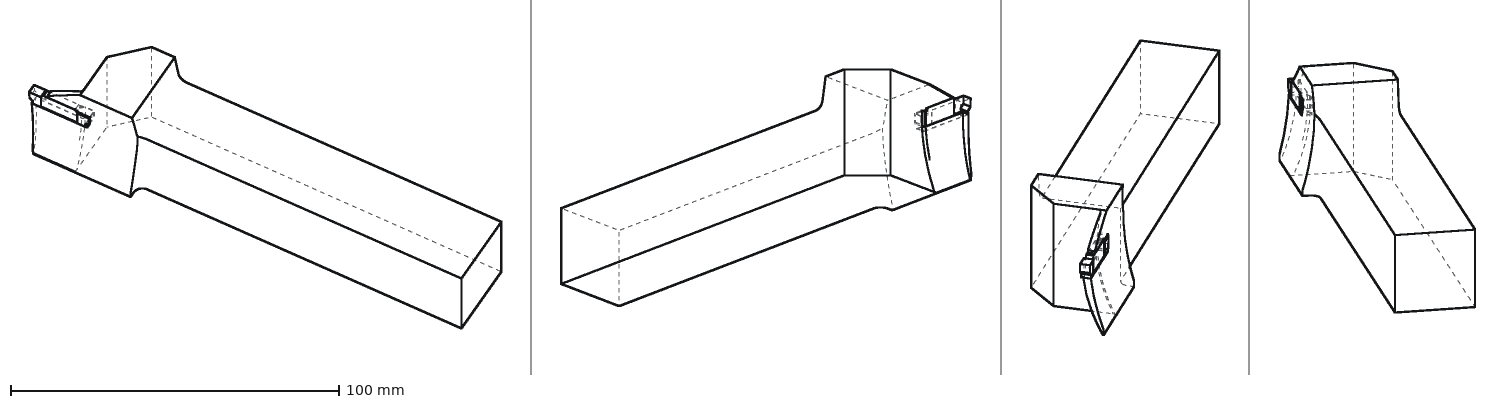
import cadquery as cq
import math

tool_length = 150.0
shank_width = 25.0
shank_height = 25.0
head_height = 35.0
blade_overhang = 5.0
cut_margin = 5.0

head_front_x = 17.9
head_corner_chamfer = 10.0
head_rear_tilt = 10.0
head_rear_x = 37.3
shank_fillet = 3.0
shank_start_x = head_rear_x + shank_fillet

front_radius = 85.0
front_crest_y = -1.35
front_crest_z = 26.5
back_radius = 54.0
back_crest_y = 0.95
back_crest_z = 24.0
root_fillet = 0.8
relief_angle = 7.0
seat_z = 20.0
blade_tip_x = 0.9
blade_foot_x = blade_tip_x + seat_z * math.tan(math.radians(relief_angle))
clamp_tip_x = 6.3
clamp_tip_z = 26.7

insert_length = 20.8
insert_top_z = 25.0
insert_width = 3.15
insert_front_y = -1.6
insert_back_y = insert_front_y + insert_width
end_length = 4.1
end_land_z = 22.3
end_land_x = 0.1
end_notch_x = 1.3
end_notch_z = 21.0
waist_top_z = 25.9
waist_ramp_length = 0.8
waist_front_y = front_crest_y
waist_back_y = back_crest_y
pocket_clearance = 0.35


def box(x_range, y_range, z_range):
    """Axis-aligned block between the given limits."""
    size = [high - low for low, high in (x_range, y_range, z_range)]
    corner = (x_range[0], y_range[0], z_range[0])
    return cq.Workplane("XY").box(*size, centered=False).translate(corner)


def extrude_along_y(profile, y_low, y_high):
    """Extrude a closed XZ profile from y_low to y_high."""
    return profile.extrude(-(y_high - y_low)).translate((0, y_low, 0))


def cylinder_along_x(radius, crest_y, crest_z):
    """Cylinder along X whose +Y crest line lies at crest_y, crest_z."""
    return (
        cq.Workplane("YZ")
        .center(crest_y - radius, crest_z)
        .circle(radius)
        .extrude(tool_length)
    )


def make_head():
    """Block with a cut corner, blended to the shank at its top and front."""
    arc_offset = shank_fillet * (1 - math.sqrt(0.5))
    arc_mid_x = head_rear_x + arc_offset
    plan = (
        cq.Workplane("XY")
        .moveTo(head_front_x, -blade_overhang)
        .lineTo(head_rear_x, -blade_overhang)
        .lineTo(head_rear_x, -shank_fillet)
        .threePointArc((arc_mid_x, -arc_offset), (shank_start_x, 0))
        .lineTo(shank_start_x, shank_width)
        .lineTo(head_front_x + head_corner_chamfer, shank_width)
        .lineTo(head_front_x, shank_width - head_corner_chamfer)
        .close()
        .extrude(head_height)
    )
    tilt = math.radians(head_rear_tilt)
    tangent_x = shank_start_x - shank_fillet * math.cos(tilt)
    tangent_z = shank_height + shank_fillet * (1 - math.sin(tilt))
    top_rear_x = tangent_x - (head_height - tangent_z) * math.tan(tilt)
    side = (
        cq.Workplane("XZ")
        .moveTo(head_front_x, 0)
        .lineTo(shank_start_x, 0)
        .lineTo(shank_start_x, shank_height)
        .threePointArc(
            (arc_mid_x, shank_height + arc_offset),
            (tangent_x, tangent_z),
        )
        .lineTo(top_rear_x, head_height)
        .lineTo(head_front_x, head_height)
        .close()
    )
    return plan.intersect(extrude_along_y(side, -blade_overhang, shank_width))


def make_blade_stock():
    """Full-height plate in front of the head block, with its curved back."""
    stock = box((0, head_front_x), (-blade_overhang, shank_width), (0, head_height))
    return stock.intersect(cylinder_along_x(back_radius, back_crest_y, back_crest_z))


def make_nose_outline():
    """Keep-region giving the relieved blade nose and the sloping clamp nose."""
    profile = (
        cq.Workplane("XZ")
        .moveTo(blade_foot_x, 0)
        .lineTo(tool_length, 0)
        .lineTo(tool_length, head_height)
        .lineTo(head_front_x, head_height)
        .lineTo(clamp_tip_x, clamp_tip_z)
        .lineTo(clamp_tip_x, seat_z)
        .lineTo(blade_tip_x, seat_z)
        .close()
    )
    return extrude_along_y(profile, -blade_overhang, shank_width)


def make_front_hollow():
    """Cutter for the concave front face; below its edge the foot stays flat."""
    hollow = cylinder_along_x(front_radius, front_crest_y, front_crest_z)
    hollow_x = (0, shank_start_x)
    hollow_y = (-blade_overhang - cut_margin, shank_width)
    return hollow.intersect(box(hollow_x, hollow_y, (0, head_height)))


def make_insert():
    """Double-ended insert: two wide cutting ends joined by a raised waist."""
    half_outline = [
        (blade_tip_x, seat_z),
        (end_notch_x, end_notch_z),
        (end_land_x, end_land_z),
        (0, insert_top_z),
        (end_length, insert_top_z),
        (end_length + waist_ramp_length, waist_top_z),
    ]
    other_half = [(insert_length - x, z) for x, z in reversed(half_outline)]
    profile = cq.Workplane("XZ").polyline(half_outline + other_half).close()
    body = extrude_along_y(profile, insert_front_y, insert_back_y)
    waist_x = (end_length, insert_length - end_length)
    waist_z = (seat_z, waist_top_z)
    body = body.cut(box(waist_x, (insert_front_y, waist_front_y), waist_z))
    return body.cut(box(waist_x, (waist_back_y, insert_back_y), waist_z)).solids()


def make_pocket():
    """Insert seat: a slot through the blade, wider around the rear end."""
    rear_x = insert_length - end_length
    slot = box((0, rear_x), (-blade_overhang, insert_back_y), (seat_z, waist_top_z))
    end_wall = (
        cq.Workplane("XZ")
        .moveTo(rear_x, seat_z)
        .lineTo(insert_length - blade_tip_x + pocket_clearance, seat_z)
        .lineTo(insert_length - end_land_x + pocket_clearance, end_land_z)
        .lineTo(insert_length + pocket_clearance, insert_top_z + pocket_clearance)
        .lineTo(rear_x, insert_top_z + pocket_clearance)
        .close()
    )
    return slot.union(extrude_along_y(end_wall, -blade_overhang, insert_back_y))


def make_holder():
    """Shank, head block and curved blade as one body."""
    head = make_head().union(make_blade_stock())
    root_probe = cq.selectors.BoxSelector(
        (head_front_x - root_fillet, -blade_overhang, 0),
        (head_front_x + root_fillet, back_crest_y + root_fillet, head_height),
    )
    head = head.edges(root_probe).edges("%CIRCLE").fillet(root_fillet)
    head = head.intersect(make_nose_outline()).cut(make_front_hollow())
    shank = box((shank_start_x, tool_length), (0, shank_width), (0, shank_height))
    return head.union(shank).cut(make_pocket()).solids()


holder = make_holder()
insert = make_insert()

result = cq.Compound.makeCompound([holder.val(), insert.val()])